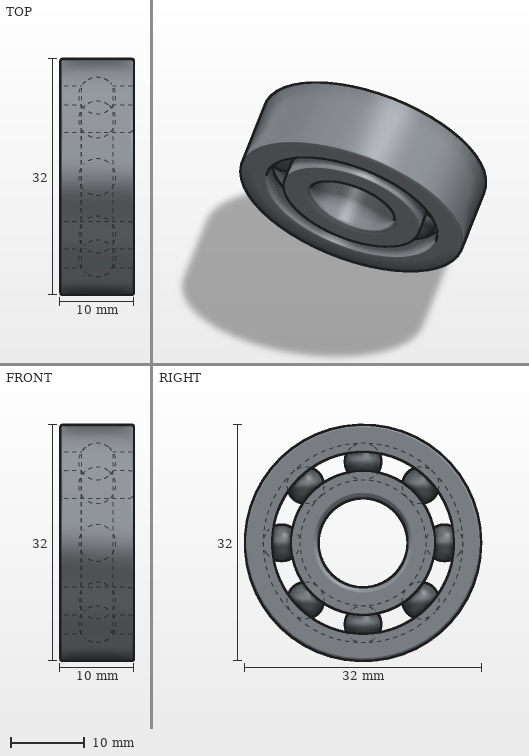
import cadquery as cq

OUTER_DIAMETER = 32.0
WIDTH = 10.0
BORE_DIAMETER = 12.0

BALL_COUNT = 8
BALL_DIAMETER = 5.0
PITCH_DIAMETER = 22.0

INNER_SHOULDER_DIAMETER = 19.52
OUTER_SHOULDER_DIAMETER = 24.6

OUTER_EDGE_RADIUS = 0.4
BORE_EDGE_RADIUS = 0.77
SHOULDER_EDGE_RADIUS = 0.2

BALL_RADIUS = BALL_DIAMETER / 2
PITCH_RADIUS = PITCH_DIAMETER / 2


def plain_ring(outside_diameter, inside_diameter, outside_edge_radius, inside_edge_radius):
    """Ring along X, centred on the origin, with the edges of both end faces rounded."""
    ring = (
        cq.Workplane("YZ", origin=(-WIDTH / 2, 0, 0))
        .circle(outside_diameter / 2)
        .circle(inside_diameter / 2)
        .extrude(WIDTH)
    )
    inside_edges = ring.edges(cq.selectors.RadiusNthSelector(0))
    ring = inside_edges.fillet(inside_edge_radius)
    outside_edges = ring.edges(cq.selectors.RadiusNthSelector(-1))
    return outside_edges.fillet(outside_edge_radius)


def ball_groove():
    """Torus swept by the balls; it leaves a groove of the ball's own radius in each ring."""
    torus = cq.Solid.makeTorus(PITCH_RADIUS, BALL_RADIUS, cq.Vector(0, 0, 0), cq.Vector(1, 0, 0))
    return cq.Workplane(torus)


def make_outer_ring():
    ring = plain_ring(
        OUTER_DIAMETER, OUTER_SHOULDER_DIAMETER, OUTER_EDGE_RADIUS, SHOULDER_EDGE_RADIUS
    )
    return ring.cut(ball_groove())


def make_inner_ring():
    ring = plain_ring(
        INNER_SHOULDER_DIAMETER, BORE_DIAMETER, SHOULDER_EDGE_RADIUS, BORE_EDGE_RADIUS
    )
    return ring.cut(ball_groove())


def make_ball(angle):
    """Ball seated in the groove, at an angle in degrees around X measured from +Z."""
    return (
        cq.Workplane("XY")
        .sphere(BALL_RADIUS)
        .translate((0, 0, PITCH_RADIUS))
        .rotate((0, 0, 0), (1, 0, 0), angle)
    )


outer_ring = make_outer_ring()
inner_ring = make_inner_ring()

balls = []
for index in range(BALL_COUNT):
    ball = make_ball(index * 360 / BALL_COUNT)
    balls.append(ball.val())

result = cq.Compound.makeCompound([outer_ring.solids().val(), inner_ring.solids().val(), *balls])